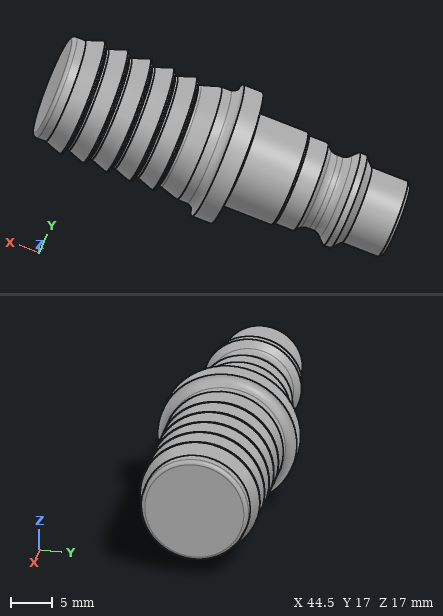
import cadquery as cq
import math


length = 44.5
nose_radius = 4.9
nose_chamfer = 0.45
nose_end = 5.1

body_radius = 6.0
ridge_start = 6.2
ridge_end = 7.08
groove_radius = 4.75
groove_floor_length = 0.65
groove_round = 1.42
groove_flank_angle = math.radians(45)

land_radius = 5.7
land_end = 13.57
body_start = 13.85
body_end = 20.25
collar_radius = 8.5
collar_start = 20.65
collar_end = 23.15

tail_radius = 7.3
root_radius = 6.55
first_cone_start = 25.55
first_cone_end = 27.95
barb_count = 5
barb_pitch = 3.0
root_flat = 0.3
barb_rise = 0.3
crest_flat = 0.22
end_round = 0.5


def arc_point(center, radius, angle):
    """Point (x, r) on a circle, with the angle measured from +X."""
    return (center[0] + radius * math.cos(angle), center[1] + radius * math.sin(angle))


def add_nose(path):
    """Chamfered cylindrical nose."""
    return (
        path.lineTo(0, nose_radius - nose_chamfer)
        .lineTo(nose_chamfer, nose_radius)
        .lineTo(nose_end, nose_radius)
    )


def add_ridge_and_groove(path):
    """Locking ridge, then a groove with sloped flanks and rounded floor corners."""
    floor_angle = math.radians(270)
    center_r = groove_radius + groove_round
    corner_run = groove_round * math.sin(groove_flank_angle)
    flank_base_r = center_r - groove_round * math.cos(groove_flank_angle)
    left_flank_run = (body_radius - flank_base_r) / math.tan(groove_flank_angle)
    right_flank_run = (land_radius - flank_base_r) / math.tan(groove_flank_angle)
    left_flank_base_x = ridge_end + left_flank_run
    floor_start = left_flank_base_x + corner_run
    floor_end = floor_start + groove_floor_length
    right_flank_base_x = floor_end + corner_run
    return (
        path.lineTo(ridge_start, body_radius)
        .lineTo(ridge_end, body_radius)
        .lineTo(left_flank_base_x, flank_base_r)
        .threePointArc(
            arc_point((floor_start, center_r), groove_round, floor_angle - groove_flank_angle / 2),
            (floor_start, groove_radius),
        )
        .lineTo(floor_end, groove_radius)
        .threePointArc(
            arc_point((floor_end, center_r), groove_round, floor_angle + groove_flank_angle / 2),
            (right_flank_base_x, flank_base_r),
        )
        .lineTo(right_flank_base_x + right_flank_run, land_radius)
    )


def add_body_and_collar(path):
    """Land, body and collar, with a full round from the collar rim to the tail."""
    collar_round = collar_radius - tail_radius
    round_center = (collar_end + collar_round, collar_radius)
    return (
        path.lineTo(land_end, land_radius)
        .lineTo(body_start, body_radius)
        .lineTo(body_end, body_radius)
        .lineTo(collar_start, collar_radius)
        .lineTo(collar_end, collar_radius)
        .threePointArc(
            arc_point(round_center, collar_round, math.radians(225)),
            (round_center[0], tail_radius),
        )
    )


def add_tail(path):
    """Tapered root, evenly spaced barbs and a rounded end."""
    path = path.lineTo(first_cone_start, tail_radius).lineTo(first_cone_end, root_radius)
    for i in range(barb_count):
        barb_start = first_cone_end + i * barb_pitch + root_flat
        crest_start = barb_start + barb_rise
        path = (
            path.lineTo(barb_start, root_radius)
            .lineTo(crest_start, tail_radius)
            .lineTo(crest_start + crest_flat, tail_radius)
            .lineTo(first_cone_end + (i + 1) * barb_pitch, root_radius)
        )
    end_center = (length - end_round, root_radius - end_round)
    return (
        path.lineTo(end_center[0], root_radius)
        .threePointArc(
            arc_point(end_center, end_round, math.radians(45)),
            (length, end_center[1]),
        )
    )


profile = cq.Workplane("XY").moveTo(0, 0)
for add_section in (add_nose, add_ridge_and_groove, add_body_and_collar, add_tail):
    profile = add_section(profile)

result = profile.lineTo(length, 0).close().revolve(360, (0, 0, 0), (1, 0, 0))